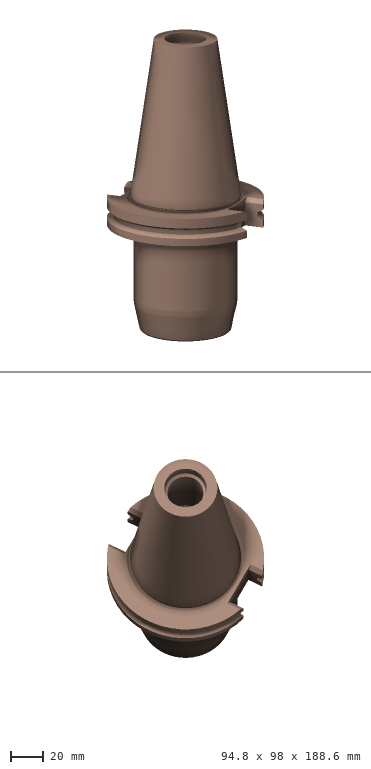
import cadquery as cq
import math

total_height = 188.6

taper_base_z = 87.3
taper_base_radius = 69.2 / 2
taper_top_radius = taper_base_radius - (total_height - taper_base_z) * 7 / 48

flange_radius = 98.0 / 2
flange_bottom_z = 68.0
flange_top_z = 85.8
groove_floor_radius = 45.5
groove_floor_width = 3.0
groove_wall_height = 1.9
groove_bottom_z = 72.8
groove_floor_z = groove_bottom_z + groove_wall_height
groove_roof_z = groove_floor_z + groove_floor_width
groove_top_z = groove_roof_z + groove_wall_height

neck_radius = 34.1
neck_top_z = taper_base_z - 0.4
relief_outer_radius = 36.5
relief_floor_radius = 35.5
relief_depth = 0.5

body_radius = 65.0 / 2
nose_blend_top_z = 21.0
nose_blend_bottom_z = 17.0
nose_end_radius = 28.7
nose_end_chamfer = 1.0
nose_blend_height = nose_blend_top_z - nose_blend_bottom_z

slot_width = 25.0
slot_chamfer = 2.6
left_slot_floor = 37.7
right_slot_floor = 35.0

counterbore_radius = 26.4 / 2
counterbore_depth = 6.5
hole_radius = 22.5 / 2
hole_seat_height = 1.0
hole_depth = 49.0
drill_point_angle = 118.0
hole_seat_z = total_height - counterbore_depth
hole_bottom_z = total_height - hole_depth
drill_point_height = hole_radius / math.tan(math.radians(drill_point_angle / 2))


def nose_blend_radius():
    """Radius at the foot of an arc tangent to both the body and the nose cone."""
    crossing_height = nose_blend_bottom_z + nose_blend_height / 2 - nose_end_chamfer
    nose_angle = math.atan((body_radius - nose_end_radius) / crossing_height)
    return body_radius - nose_blend_height * math.tan(nose_angle / 2)


def turned_body():
    """Solid of revolution: taper, neck, flange, body and nose."""
    profile = (
        cq.Workplane("XZ")
        .moveTo(0, total_height)
        .lineTo(taper_top_radius, total_height)
        .lineTo(taper_base_radius, taper_base_z)
        .lineTo(neck_radius, neck_top_z)
        .lineTo(neck_radius, flange_top_z - relief_depth)
        .lineTo(relief_floor_radius, flange_top_z - relief_depth)
        .lineTo(relief_outer_radius, flange_top_z)
        .lineTo(flange_radius, flange_top_z)
        .lineTo(flange_radius, groove_top_z)
        .lineTo(groove_floor_radius, groove_roof_z)
        .lineTo(groove_floor_radius, groove_floor_z)
        .lineTo(flange_radius, groove_bottom_z)
        .lineTo(flange_radius, flange_bottom_z)
        .lineTo(body_radius, flange_bottom_z)
        .lineTo(body_radius, nose_blend_top_z)
        .tangentArcPoint((nose_blend_radius(), nose_blend_bottom_z), relative=False)
        .lineTo(nose_end_radius, nose_end_chamfer)
        .lineTo(nose_end_radius - nose_end_chamfer, 0)
        .lineTo(0, 0)
        .close()
    )
    return profile.revolve(360, (0, 0, 0), (0, 1, 0))


def slot_cutter(floor_distance, side):
    """Slot through the flange on the +X (side = 1) or -X (side = -1) side, chamfered at the top."""
    half_width = slot_width / 2
    section = (
        cq.Workplane("YZ", origin=(side * floor_distance, 0, 0))
        .moveTo(-half_width, flange_bottom_z)
        .lineTo(half_width, flange_bottom_z)
        .lineTo(half_width, flange_top_z - slot_chamfer)
        .lineTo(half_width + slot_chamfer, flange_top_z)
        .lineTo(-half_width - slot_chamfer, flange_top_z)
        .lineTo(-half_width, flange_top_z - slot_chamfer)
        .close()
    )
    return section.extrude(side * flange_radius)


def drawbar_hole():
    """Counterbore, conical seat and blind hole with a drill point."""
    profile = (
        cq.Workplane("XZ")
        .moveTo(0, total_height)
        .lineTo(counterbore_radius, total_height)
        .lineTo(counterbore_radius, hole_seat_z)
        .lineTo(hole_radius, hole_seat_z - hole_seat_height)
        .lineTo(hole_radius, hole_bottom_z)
        .lineTo(0, hole_bottom_z - drill_point_height)
        .close()
    )
    return profile.revolve(360, (0, 0, 0), (0, 1, 0))


result = (
    turned_body()
    .cut(slot_cutter(left_slot_floor, -1))
    .cut(slot_cutter(right_slot_floor, 1))
    .cut(drawbar_hole())
)